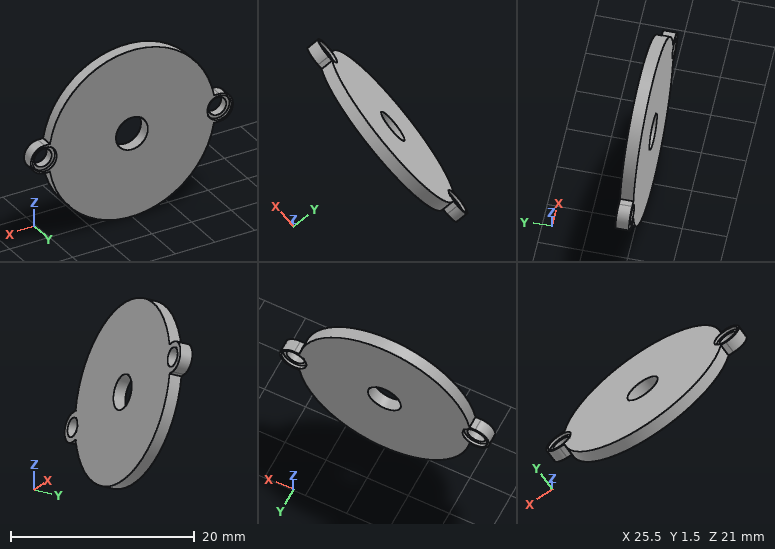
import cadquery as cq

overall_length = 25.5
thickness = 1.5
disc_diameter = 20.99
bore_diameter = 4.0
ear_width = 3.5
ear_hole_diameter = 2.2
counterbore_diameter = 3.0
counterbore_depth = 0.38

ear_spacing = overall_length - ear_width
ear_centres = [(-ear_spacing / 2, 0), (ear_spacing / 2, 0)]


def back_face():
    """Workplane on the back face (+Y), with the plate centred on Y = 0.

    Positive extrusions run from this face toward the front (-Y).
    """
    return cq.Workplane("XZ", origin=(0, thickness / 2, 0))


def plate_outline():
    """Round disc joined to a round-ended bar that forms the two ears."""
    disc = back_face().circle(disc_diameter / 2).extrude(thickness)
    ears = back_face().slot2D(overall_length, ear_width).extrude(thickness)
    return disc.union(ears)


def centre_bore():
    """Through bore on the disc axis."""
    return back_face().circle(bore_diameter / 2).extrude(thickness)


def ear_holes():
    """Through holes concentric with the ear ends, counterbored from the back."""
    holes = back_face().pushPoints(ear_centres).circle(ear_hole_diameter / 2).extrude(thickness)
    counterbores = (
        back_face()
        .pushPoints(ear_centres)
        .circle(counterbore_diameter / 2)
        .extrude(counterbore_depth)
    )
    return holes.union(counterbores)


result = plate_outline().cut(centre_bore()).cut(ear_holes())